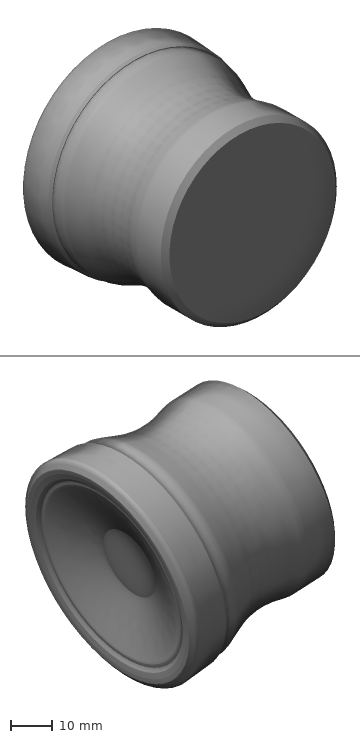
import cadquery as cq


length = 50.1
max_radius = 31.5
seat_radius = 25.55
spigot_front = 1.25
shoulder_x = 11.3

dish_floor_radius = 9.4
dish_floor_x = 6.9
dish_edge_radius = 24.25
dish_edge_x = 1.4
dish_mid_radius = (dish_floor_radius + dish_edge_radius) / 2
dish_sag = 0.1
dish_mid_x = (dish_floor_x + dish_edge_x) / 2 + dish_sag
rim_inner_radius = 24.7

shoulder_radius = 60.5 / 2
shoulder_end = 13.6
flare_start = 15.4
flare_start_radius = 29.85
flare_end = 19.45
flare_end_radius = 28.25
waist_x = 30.5
waist_radius = 26.05
waist_end = 38.5
waist_end_radius = 27.25
rear_radius = 55.0 / 2
rear_start = 40.0
rear_chamfer_length = 1.4
rear_chamfer_depth = 1.6

crest_inner_radius = 28.15
crest_inner_x = 0.1
crest_flat_radius = 29.15
crest_outer_radius = 29.4
lip_radius = 26.55
lip_x = 0.5
nose_x = 0.75
nose_radius = 30.7
brow_x = 1.45
brow_radius = 31.35
nose_end = 1.9
taper_start = 2.6
taper_start_radius = 31.4
taper_end = 10.5
taper_end_radius = 30.95
ring_back_radius = 30.45


def revolve_about_x(profile):
    """Revolve a closed (x, radius) outline a full turn about the X axis."""
    return profile.close().revolve(360, (0, 0, 0), (1, 0, 0))


def make_body():
    """Waisted body with a dished front and a spigot for the ring."""
    profile = (
        cq.Workplane("XY")
        .moveTo(dish_floor_x, 0)
        .lineTo(dish_floor_x, dish_floor_radius)
        .threePointArc((dish_mid_x, dish_mid_radius), (dish_edge_x, dish_edge_radius))
        .lineTo(spigot_front, rim_inner_radius)
        .lineTo(spigot_front, seat_radius)
        .lineTo(shoulder_x, seat_radius)
        .lineTo(shoulder_x, shoulder_radius)
        .lineTo(shoulder_end, shoulder_radius)
        .tangentArcPoint((flare_start, flare_start_radius), relative=False)
        .lineTo(flare_end, flare_end_radius)
        .threePointArc((waist_x, waist_radius), (waist_end, waist_end_radius))
        .tangentArcPoint((rear_start, rear_radius), relative=False)
        .lineTo(length - rear_chamfer_length, rear_radius)
        .lineTo(length, rear_radius - rear_chamfer_depth)
        .lineTo(length, 0)
    )
    return revolve_about_x(profile)


def make_ring():
    """Bezel ring that sits on the spigot against the shoulder."""
    profile = (
        cq.Workplane("XY")
        .moveTo(spigot_front, seat_radius)
        .lineTo(lip_x, lip_radius)
        .lineTo(crest_inner_x, crest_inner_radius)
        .lineTo(0, crest_flat_radius)
        .lineTo(0, crest_outer_radius)
        .lineTo(nose_x, nose_radius)
        .tangentArcPoint((brow_x, brow_radius), relative=False)
        .lineTo(nose_end, max_radius)
        .lineTo(taper_start, taper_start_radius)
        .lineTo(taper_end, taper_end_radius)
        .lineTo(shoulder_x, ring_back_radius)
        .lineTo(shoulder_x, seat_radius)
    )
    return revolve_about_x(profile)


body = make_body()
ring = make_ring()

result = cq.Compound.makeCompound([body.val(), ring.val()])